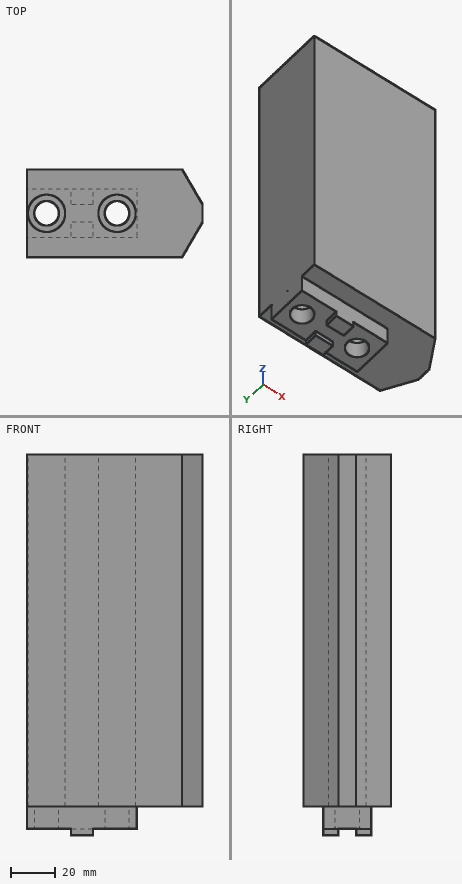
import cadquery as cq

length = 80.0
width = 40.0
height = 173.0

nose_length = 9.3
nose_flat = 8.0

foot_length = 50.0
foot_width = 22.0
foot_height = 10.0
tab_start = 20.0
tab_length = 10.0
tab_height = 3.0
tab_gap = 8.0

hole_positions = (9.0, 41.0)
hole_diameter = 11.0
counterbore_diameter = 17.0

foot_bottom = tab_height
body_bottom = foot_bottom + foot_height
tab_width = (foot_width - tab_gap) / 2
tab_offset = (tab_gap + tab_width) / 2
counterbore_depth = height - body_bottom


def make_body():
    """Tall block with its +X end tapered symmetrically."""
    shoulder = length - nose_length
    outline = [
        (0, -width / 2),
        (shoulder, -width / 2),
        (length, -nose_flat / 2),
        (length, nose_flat / 2),
        (shoulder, width / 2),
        (0, width / 2),
    ]
    return (
        cq.Workplane("XY", origin=(0, 0, body_bottom))
        .polyline(outline)
        .close()
        .extrude(height - body_bottom)
    )


def make_foot():
    """Narrow block flush with the -X face of the body."""
    return (
        cq.Workplane("XY", origin=(0, 0, foot_bottom))
        .box(foot_length, foot_width, foot_height, centered=(False, True, False))
    )


def make_tab(y_center):
    """One locating tab below the foot."""
    return (
        cq.Workplane("XY", origin=(tab_start, y_center, 0))
        .box(tab_length, tab_width, tab_height, centered=(False, True, False))
    )


result = make_body().union(make_foot())
for y_center in (-tab_offset, tab_offset):
    result = result.union(make_tab(y_center))

result = (
    result.faces(">Z")
    .workplane(origin=(0, 0, height))
    .pushPoints([(x, 0) for x in hole_positions])
    .cboreHole(hole_diameter, counterbore_diameter, counterbore_depth)
)